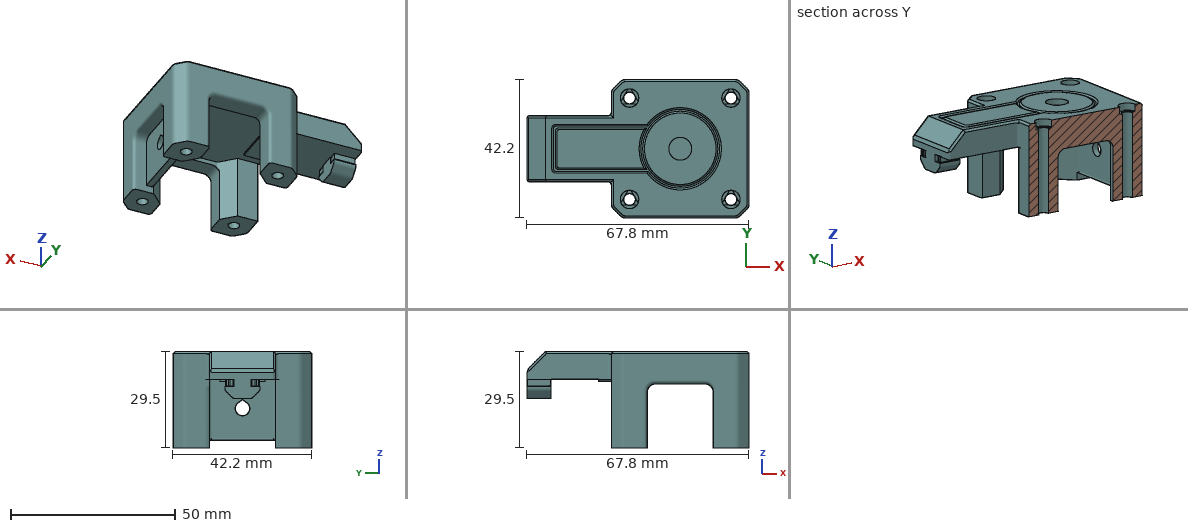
import cadquery as cq
import math

height = 29.5
body_left = -21.0
body_right = 21.0
body_half_width = 21.11
corner_chamfer = 3.4
corner_blend = 2.0
rim_chamfer = 0.7

arm_tip = -46.75
arm_half_width = 10.1
arm_bottom = 20.95
arm_bevel = 5.7
bevel_edge_chamfer = 0.75
arm_tip_radius = 0.95
arm_root_radius = 1.0

cavity_half = 14.7
cavity_corner_cut = 5.15
cavity_corner_blend = 0.6

arch_half_width = 10.0
arch_top = 19.5
arch_radius = 2.45
arch_edge_blend = 1.1

arm_arch_half_width = 9.4
arm_arch_top = 17.7
arm_arch_radius = 0.5
arm_arch_edge_blend = 2.0

panel_thickness = 2.0
panel_bottom = 2.4
sill_height = 0.55
sill_depth = 0.15
cable_hole_diameter = 4.35
cable_hole_height = 12.05
cable_hole_tip = 2.7

screw_offset = 15.45
screw_diameter = 3.5
screw_head_diameter = 5.6
screw_head_depth = 2.25
bridge_depth = 0.3

pocket_diameter = 7.0
pocket_depth = 2.1

groove_depth = 0.55
groove_width = 1.6
ring_radius = 12.55
inlay_left = -39.2
inlay_right = -9.5
inlay_half_width = 7.45
inlay_radius = 1.35
inlay_inner_radius = 0.6

pad_left = -24.9
pad_half_width = 6.9
pad_thickness = 0.6

hook_length = 7.4
hook_half_width = 5.35
hook_top = 18.8
hook_bottom = 15.05
hook_chamfer = 2.6
hook_blend = 1.7
neck_half_width = 2.65

support_gap = 0.2
comb_outer = 5.2
fin_thickness = 0.4
fin_inner_face = 3.8

margin = 0.1


def block(x0, x1, y0, y1, z0, z1):
    """Box between two opposite corners."""
    return cq.Workplane("XY").box(x1 - x0, y1 - y0, z1 - z0, centered=False).translate((x0, y0, z0))


def inside(x0, x1, y0, y1, z0, z1):
    """Selector for edges whose centre lies in the given region, limits included."""
    low = (x0 - margin, y0 - margin, z0 - margin)
    high = (x1 + margin, y1 + margin, z1 + margin)
    return cq.selectors.BoxSelector(low, high)


def make_shell():
    """Solid body with the arm, outer edges finished."""
    body = block(body_left, body_right, -body_half_width, body_half_width, 0, height)
    body = body.edges("|Z").chamfer(corner_chamfer).edges("|Z").fillet(corner_blend)

    bevel_foot = height - arm_bevel
    diagonal = bevel_edge_chamfer * math.sqrt(0.5)
    side_view = [
        (0, arm_bottom),
        (arm_tip, arm_bottom),
        (arm_tip, bevel_foot - bevel_edge_chamfer),
        (arm_tip + diagonal, bevel_foot + diagonal),
        (arm_tip + arm_bevel, height),
        (0, height),
    ]
    arm = cq.Workplane("XZ").polyline(side_view).close().extrude(arm_half_width, both=True)
    shell = body.union(arm)

    rim = shell.faces(">Z").edges("not(|Y and <X)")
    bevel_middle = arm_tip + arm_bevel / 2
    bevel_zone = inside(
        bevel_middle - 0.7, bevel_middle + 0.7, -arm_half_width, arm_half_width, bevel_foot, height
    )
    bevel_sides = shell.edges(bevel_zone).edges("not |Y")
    shell = rim.add(bevel_sides).chamfer(rim_chamfer)
    shell = shell.edges("|Z and <X").fillet(arm_tip_radius)

    root_zone = inside(body_left, body_left, -arm_half_width, arm_half_width, arm_bottom, height)
    return shell.edges(root_zone).edges("|Z").fillet(arm_root_radius)


def make_cavity():
    """Octagonal space between the legs, up to the level of the arm."""
    cavity = block(-cavity_half, cavity_half, -cavity_half, cavity_half, 0, arm_bottom)
    cavity = cavity.edges("|Z").chamfer(cavity_corner_cut)
    return cavity.edges("|Z").fillet(cavity_corner_blend)


def arch_cutter(length):
    """Arch centred on the Z axis, running along Y from the origin to -length."""
    arch = block(-arch_half_width, arch_half_width, -length, 0, 0, arch_top)
    return arch.edges("|Y and >Z").fillet(arch_radius)


def cut_arches(part):
    """Open the walls on three sides and round the outer edges of each arch."""
    part = part.cut(arch_cutter(2 * body_half_width).translate((0, body_half_width, 0)))
    part = part.cut(arch_cutter(body_right).rotate((0, 0, 0), (0, 0, 1), 90))
    foot = 2 * margin
    for wall in (-body_half_width, body_half_width):
        mouth = inside(-arch_half_width, arch_half_width, wall, wall, foot, arch_top)
        part = part.edges(mouth).fillet(arch_edge_blend)
    mouth = inside(body_right, body_right, -arch_half_width, arch_half_width, foot, arch_top)
    return part.edges(mouth).fillet(arch_edge_blend)


def cut_arm_side(part):
    """Open the wall below the arm; one leg keeps part of a rounded arch edge."""
    half_arch = block(body_left, 0, 0, arm_arch_half_width, 0, arm_arch_top)
    half_arch = half_arch.edges("|X and >Y and >Z").fillet(arm_arch_radius)
    part = part.cut(half_arch)
    arch_side = inside(
        body_left, body_left, arm_arch_half_width, arm_arch_half_width, 0, arm_arch_top
    )
    part = part.edges(arch_side).edges("|Z").fillet(arm_arch_edge_blend)
    return part.cut(block(body_left, 0, -arm_half_width, arm_half_width, 0, arm_bottom))


def panel_blank():
    """Block filling the inner end of the right-hand arch before the cavity is cut."""
    outer = cavity_half + panel_thickness
    return block(0, outer, -arch_half_width, arch_half_width, panel_bottom, arm_bottom)


def make_sill():
    """Sloped strip along the inner lower edge of the panel."""
    profile = [
        (cavity_half - sill_depth, panel_bottom),
        (cavity_half + sill_depth, panel_bottom),
        (cavity_half + sill_depth, panel_bottom + sill_height),
        (cavity_half, panel_bottom + sill_height),
    ]
    return cq.Workplane("XZ").polyline(profile).close().extrude(arch_half_width, both=True)


def cable_hole():
    """Teardrop hole along X with its point upwards."""
    radius = cable_hole_diameter / 2
    touch = math.acos(radius / cable_hole_tip)
    side_y = radius * math.sin(touch)
    side_z = radius * math.cos(touch)
    return (
        cq.Workplane("YZ")
        .moveTo(0, cable_hole_tip)
        .lineTo(-side_y, side_z)
        .threePointArc((0, -radius), (side_y, side_z))
        .close()
        .extrude(body_right)
        .translate((0, 0, cable_hole_height))
    )


def screw_hole():
    """Stepped hole: head recess, triangular bridging step, shank."""
    shank = cq.Workplane("XY").circle(screw_diameter / 2).extrude(height)
    head_floor = height - screw_head_depth
    head = cq.Workplane("XY", origin=(0, 0, head_floor)).circle(screw_head_diameter / 2).extrude(height)
    step_level = cq.Workplane("XY", origin=(0, 0, head_floor - bridge_depth))
    triangle = (
        step_level.polygon(3, 2 * screw_diameter)
        .extrude(bridge_depth)
        .rotate((0, 0, 0), (0, 0, 1), 90)
    )
    step = step_level.circle(screw_head_diameter / 2).extrude(bridge_depth).intersect(triangle)
    return shank.union(step).union(head)


def cut_top_holes(part):
    hole = screw_hole()
    for x in (-screw_offset, screw_offset):
        for y in (-screw_offset, screw_offset):
            part = part.cut(hole.translate((x, y, 0)))
    pocket = cq.Workplane("XY", origin=(0, 0, height - pocket_depth)).circle(pocket_diameter / 2)
    return part.cut(pocket.extrude(pocket_depth))


def disc_frustum(top_radius, slope):
    """Disc as deep as the groove; slope +1 narrows it downwards, -1 widens it."""
    bottom_radius = top_radius - slope * groove_depth
    floor = height - groove_depth
    profile = [(0, floor), (bottom_radius, floor), (top_radius, height), (0, height)]
    return cq.Workplane("XZ").polyline(profile).close().revolve(360, (0, 0, 0), (0, 1, 0))


def inlay_frustum(inset, radius, slope):
    """Rounded rectangle as deep as the groove, inset from the outline along the arm."""
    length = 2 * (inlay_right - inlay_left - inset)
    width = 2 * (inlay_half_width - inset)
    outline = cq.Sketch().rect(length, width).vertices().fillet(radius)
    top = cq.Workplane("XY", origin=(inlay_right, 0, height))
    frustum = top.placeSketch(outline).extrude(-groove_depth, taper=45 * slope)
    reach = 2 * inlay_half_width
    return frustum.intersect(block(inlay_left - reach, inlay_right, -reach, reach, 0, height))


def make_groove():
    """Loop along the arm joined to the ring groove around the axis."""
    loop = inlay_frustum(0, inlay_radius, 1)
    loop = loop.cut(inlay_frustum(groove_width, inlay_inner_radius, -1))
    ring = disc_frustum(ring_radius, 1).cut(disc_frustum(ring_radius - groove_width, -1))
    return loop.union(ring)


def make_pad():
    """Thin pad under the root of the arm."""
    return block(
        pad_left, -cavity_half, -pad_half_width, pad_half_width, arm_bottom - pad_thickness, arm_bottom
    )


def make_hook():
    """T-shaped foot hanging from the tip of the arm."""
    hook_end = arm_tip + hook_length
    head = block(arm_tip, hook_end, -hook_half_width, hook_half_width, hook_bottom, hook_top)
    head = head.edges("|X and <Z").chamfer(hook_chamfer)
    head = head.edges("|X").edges("not >Z").fillet(hook_blend)
    neck = block(arm_tip, hook_end, -neck_half_width, neck_half_width, hook_bottom + hook_blend, arm_bottom)
    return head.union(neck)


def make_support_comb():
    """Two fins joined by a rear web, standing clear of the neck and the head."""
    front = arm_tip + support_gap
    back = arm_tip + hook_length - support_gap
    bottom = hook_top + support_gap
    comb = block(back - fin_thickness, back, neck_half_width + support_gap, comb_outer, bottom, arm_bottom)
    for inner_face in (fin_inner_face, comb_outer - fin_thickness):
        comb = comb.union(block(front, back, inner_face, inner_face + fin_thickness, bottom, arm_bottom))
    return comb


result = make_shell()
result = cut_arches(result)
result = cut_arm_side(result)
result = result.union(panel_blank()).cut(make_cavity()).union(make_sill())
result = result.cut(cable_hole())
result = cut_top_holes(result)
result = result.cut(make_groove())
result = result.union(make_pad()).union(make_hook())
comb = make_support_comb()
result = result.union(comb).union(comb.mirror("XZ"))